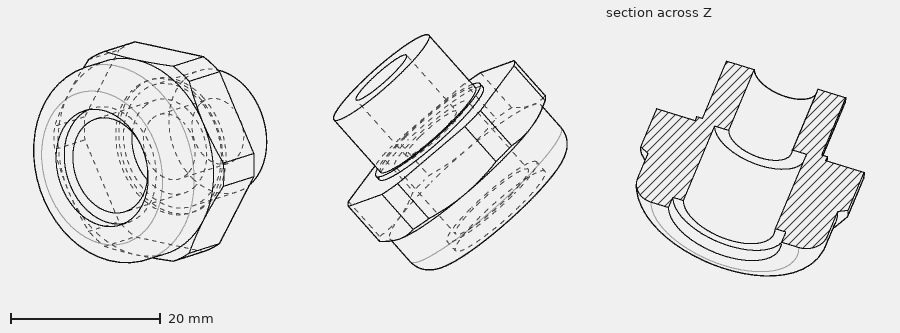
import cadquery as cq
import math

CAP_DIAMETER = 27.0
CAP_LENGTH = 7.05
CAP_ROUND = 3.0

HEX_ACROSS_FLATS = 27.0
HEX_CORNER_DIAMETER = 29.5
HEX_LENGTH = 7.0
HEX_SIDES = 6
HEX_CHAMFER_LENGTH = 0.65

COLLAR_DIAMETER = 18.6
COLLAR_LENGTH = 0.65

SPIGOT_DIAMETER = 17.0
SPIGOT_LENGTH = 9.5

MOUTH_DIAMETER = 16.0
MOUTH_DEPTH = 1.7
SEAT_DIAMETER = 13.0
BORE_DIAMETER = 9.0

CAP_FRONT = 0.0
HEX_FRONT = CAP_FRONT + CAP_LENGTH
HEX_BACK = HEX_FRONT + HEX_LENGTH
COLLAR_BACK = HEX_BACK + COLLAR_LENGTH
SPIGOT_BACK = COLLAR_BACK + SPIGOT_LENGTH
MOUTH_FLOOR = CAP_FRONT + MOUTH_DEPTH
SEAT_FLOOR = HEX_BACK


def plane_at(y):
    """Plane across the axis at station y, extruding towards +Y."""
    return cq.Workplane(cq.Plane(origin=(0, y, 0), xDir=(1, 0, 0), normal=(0, 1, 0)))


def cylinder(diameter, start, end):
    """Round section on the axis between two stations."""
    return plane_at(start).circle(diameter / 2).extrude(end - start)


def make_cap():
    """Domed nut end with a rounded front rim."""
    return cylinder(CAP_DIAMETER, CAP_FRONT, HEX_FRONT).edges("<Y").fillet(CAP_ROUND)


def make_hex():
    """Hexagon with turned-off corners and a conical chamfer on its front side."""
    across_corners = HEX_ACROSS_FLATS / math.cos(math.pi / HEX_SIDES)
    prism = plane_at(HEX_FRONT).polygon(HEX_SIDES, across_corners).extrude(HEX_LENGTH)
    corner_radius = HEX_CORNER_DIAMETER / 2
    flat_radius = HEX_ACROSS_FLATS / 2
    turned_blank = (
        cq.Workplane("XY")
        .moveTo(0, HEX_FRONT)
        .lineTo(flat_radius, HEX_FRONT)
        .lineTo(corner_radius, HEX_FRONT + HEX_CHAMFER_LENGTH)
        .lineTo(corner_radius, HEX_BACK)
        .lineTo(0, HEX_BACK)
        .close()
        .revolve(360, (0, 0, 0), (0, 1, 0))
    )
    return prism.intersect(turned_blank)


def make_body():
    """Solid outside shape: cap, hexagon, thin collar and spigot in line."""
    collar = cylinder(COLLAR_DIAMETER, HEX_BACK, COLLAR_BACK)
    spigot = cylinder(SPIGOT_DIAMETER, COLLAR_BACK, SPIGOT_BACK)
    return make_cap().union(make_hex()).union(collar).union(spigot)


def cut_stepped_bore(body):
    """Wide shallow mouth, then the seat bore, then the narrow through bore."""
    mouth = cylinder(MOUTH_DIAMETER, CAP_FRONT, MOUTH_FLOOR)
    seat = cylinder(SEAT_DIAMETER, MOUTH_FLOOR, SEAT_FLOOR)
    bore = cylinder(BORE_DIAMETER, SEAT_FLOOR, SPIGOT_BACK)
    return body.cut(mouth).cut(seat).cut(bore)


result = cut_stepped_bore(make_body())